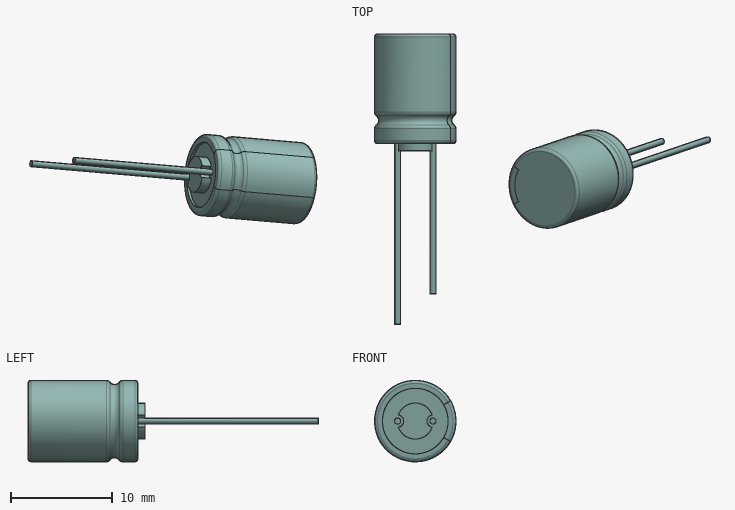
import cadquery as cq
import math


total_length = 28.5
can_length = 10.77
can_radius = 4.005
edge_radius = 0.3

groove_center = 2.28
groove_depth = 0.4
groove_half_width = 0.812
shoulder_width = 0.35

plug_radius = 3.22
plug_recess = 0.28
plug_inner_end = groove_center
standoff_radius = 1.77
standoff_height = 0.7
lead_clearance_radius = 0.6

stripe_half_angle = 30.0

lead_radius = 0.3
lead_offset = 1.75
long_lead_end = can_length - total_length
short_lead_end = long_lead_end + 3.0


def disc(radius, start, end, x=0.0):
    """Cylinder parallel to Y between two Y positions."""
    return cq.Workplane("XZ", origin=(x, start, 0)).circle(radius).extrude(start - end)


def can_envelope():
    """Solid of revolution with rounded ends and a smooth crimp groove."""
    flank_angle = 2 * math.atan(groove_depth / groove_half_width)
    shoulder_radius = shoulder_width / math.sin(flank_angle)
    valley_half_width = groove_half_width - shoulder_width
    tangent_radius = can_radius - shoulder_radius * (1 - math.cos(flank_angle))
    shoulder_mid_radius = can_radius - shoulder_radius * (1 - math.cos(flank_angle / 2))
    shoulder_mid_offset = groove_half_width - shoulder_radius * math.sin(flank_angle / 2)
    envelope = (
        cq.Workplane("XY")
        .lineTo(can_radius, 0)
        .lineTo(can_radius, groove_center - groove_half_width)
        .threePointArc(
            (shoulder_mid_radius, groove_center - shoulder_mid_offset),
            (tangent_radius, groove_center - valley_half_width),
        )
        .threePointArc(
            (can_radius - groove_depth, groove_center),
            (tangent_radius, groove_center + valley_half_width),
        )
        .threePointArc(
            (shoulder_mid_radius, groove_center + shoulder_mid_offset),
            (can_radius, groove_center + groove_half_width),
        )
        .lineTo(can_radius, can_length)
        .lineTo(0, can_length)
        .close()
        .revolve(360, (0, 0, 0), (0, 1, 0))
    )
    return envelope.faces("<Y or >Y").edges().fillet(edge_radius)


def stripe_sector():
    """Wedge-shaped region of the can wall, outside the plug radius."""
    reach = 2 * can_radius
    half_height = reach * math.tan(math.radians(stripe_half_angle))
    wedge = (
        cq.Workplane("XZ")
        .polyline([(0, 0), (reach, half_height), (reach, -half_height)])
        .close()
        .extrude(-can_length)
    )
    return wedge.cut(disc(plug_radius, 0, can_length))


def make_housing():
    """Can with a blind mouth for the plug and a pocket for the stripe."""
    mouth = disc(plug_radius, 0, plug_inner_end)
    return can_envelope().cut(mouth).cut(stripe_sector())


def make_stripe():
    """Polarity stripe, flush with the surface of the can."""
    return can_envelope().intersect(stripe_sector())


def make_plug():
    """Recessed plug with a standoff that is notched around each lead."""
    standoff = disc(standoff_radius, -standoff_height, plug_recess)
    for x in (-lead_offset, lead_offset):
        standoff = standoff.cut(disc(lead_clearance_radius, -standoff_height, plug_recess, x))
    return disc(plug_radius, plug_recess, plug_inner_end).union(standoff)


def make_lead(x, end):
    """Round lead that starts on the outer face of the plug."""
    return disc(lead_radius, end, plug_recess, x)


housing = make_housing()
stripe = make_stripe()
plug = make_plug()
lead_places = [(-lead_offset, long_lead_end), (lead_offset, short_lead_end)]
leads = [make_lead(x, end).val() for x, end in lead_places]

result = cq.Compound.makeCompound([housing.val(), stripe.val(), plug.val(), *leads])